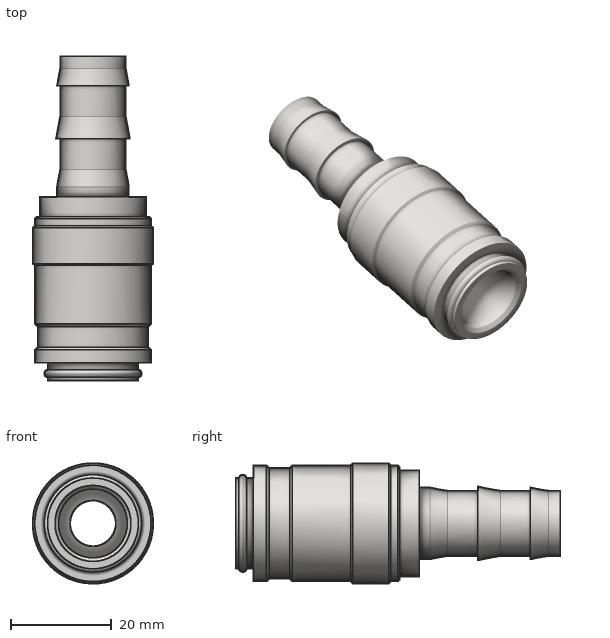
import cadquery as cq

LENGTH = 64.5
HALF_LENGTH = LENGTH / 2

TAIL_RADIUS = 6.5
BARB_RADIUS = 7.15
MIDDLE_BARB_RADIUS = 7.35
BARBS = [
    (2.4, 5.95, BARB_RADIUS),
    (11.95, 16.4, MIDDLE_BARB_RADIUS),
]
LAST_BARB_START = 22.45
LAST_BARB_END = 25.9

SHOULDER_START = 28.0
SHOULDER_RADIUS = 10.6
BODY_START = 31.9
BODY_RADIUS = 11.55
BODY_CHAMFER = 0.4
GRIP_START = 33.75
GRIP_END = 41.6
GRIP_RADIUS = 12.0
GRIP_CHAMFER = BODY_CHAMFER
GROOVE_START = 53.2
GROOVE_END = 58.4
GROOVE_RADIUS = 11.0
GROOVE_CHAMFER = 0.5
BODY_END = 60.95

SPIGOT_RADIUS = 9.0
RING_RADIUS = 9.7
RING_SECTION_RADIUS = 0.8
RING_STATION = 63.1

THROUGH_RADIUS = 4.5
SOCKET_RADIUS = 6.85
SOCKET_MOUTH_RADIUS = 7.55
SOCKET_DEPTH = 19.35
MOUTH_CHAMFER = SOCKET_MOUTH_RADIUS - SOCKET_RADIUS


def axial(station):
    """Y position of a station measured from the hose end."""
    return HALF_LENGTH - station


def revolve_outline(points):
    """Turn a closed outline of (radius, station) points about the Y axis."""
    outline = [(radius, axial(station)) for radius, station in points]
    return cq.Workplane("XY").polyline(outline).close().revolve(360, (0, 0), (0, 1))


def make_body():
    """Solid outer shape from the hose end to the spigot."""
    points = [(0, 0), (TAIL_RADIUS, 0)]
    for start, end, crest in BARBS:
        points += [(TAIL_RADIUS, start), (crest, end), (TAIL_RADIUS, end)]
    points += [
        (TAIL_RADIUS, LAST_BARB_START),
        (BARB_RADIUS, LAST_BARB_END),
        (BARB_RADIUS, SHOULDER_START),
        (SHOULDER_RADIUS, SHOULDER_START),
        (SHOULDER_RADIUS, BODY_START),
        (BODY_RADIUS - BODY_CHAMFER, BODY_START),
        (BODY_RADIUS, BODY_START + BODY_CHAMFER),
        (BODY_RADIUS, GRIP_START),
        (GRIP_RADIUS, GRIP_START + GRIP_CHAMFER),
        (GRIP_RADIUS, GRIP_END - GRIP_CHAMFER),
        (BODY_RADIUS, GRIP_END),
        (BODY_RADIUS, GROOVE_START),
        (GROOVE_RADIUS, GROOVE_START + GROOVE_CHAMFER),
        (GROOVE_RADIUS, GROOVE_END - GROOVE_CHAMFER),
        (BODY_RADIUS, GROOVE_END),
        (BODY_RADIUS, BODY_END),
        (SPIGOT_RADIUS, BODY_END),
        (SPIGOT_RADIUS, LENGTH),
        (0, LENGTH),
    ]
    return revolve_outline(points)


def make_ring():
    """O-ring seated in the spigot."""
    center_radius = RING_RADIUS - RING_SECTION_RADIUS
    section = cq.Workplane("XY").center(center_radius, axial(RING_STATION)).circle(RING_SECTION_RADIUS)
    return section.revolve(360, (-center_radius, 0), (-center_radius, 1))


def make_bores():
    """Through bore and the wider socket with its chamfered mouth."""
    socket_floor = LENGTH - SOCKET_DEPTH
    return revolve_outline([
        (0, 0),
        (THROUGH_RADIUS, 0),
        (THROUGH_RADIUS, socket_floor),
        (SOCKET_RADIUS, socket_floor),
        (SOCKET_RADIUS, LENGTH - MOUTH_CHAMFER),
        (SOCKET_MOUTH_RADIUS, LENGTH),
        (0, LENGTH),
    ])


result = make_body().union(make_ring()).cut(make_bores())